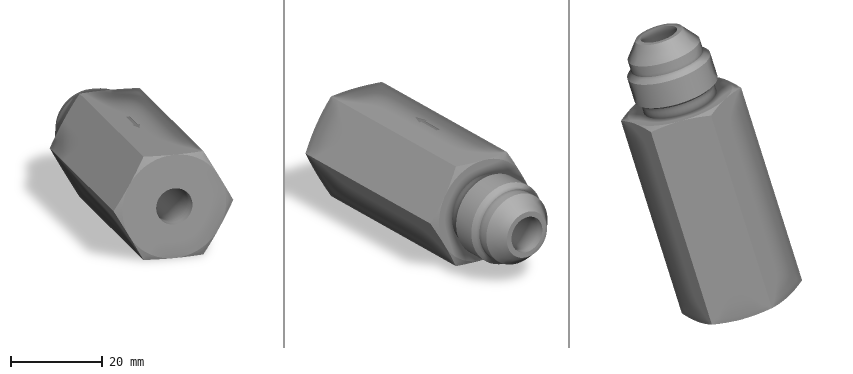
import cadquery as cq
import math

TOTAL_LENGTH = 65.0
BORE_DIAMETER = 8.3

HEX_START = 16.5
HEX_ACROSS_CORNERS = 27.5
HEX_ACROSS_FLATS = HEX_ACROSS_CORNERS * math.cos(math.radians(30))
HEX_CHAMFER_LENGTH = 0.65
HEX_END_RADIUS = HEX_ACROSS_FLATS / 2
HEX_CORNER_RADIUS = HEX_ACROSS_CORNERS / 2

NOSE_TIP_DIAMETER = 10.8
PILOT_DIAMETER = 16.5
COLLAR_DIAMETER = 19.05
NECK_DIAMETER = 16.7
CONE_LENGTH = 3.8
COLLAR_START = 6.4
COLLAR_END = 14.1
COLLAR_BACK_CHAMFER = 0.7
COLLAR_FRONT_CHAMFER = (COLLAR_DIAMETER - PILOT_DIAMETER) / 2

ARROW_TAIL_X = 35.75
ARROW_HEAD_X = 41.6
ARROW_TIP_X = 44.5
ARROW_CENTRE_Y = -1.6
ARROW_SHAFT_WIDTH = 0.85
ARROW_HEAD_WIDTH = 2.0
ARROW_DEPTH = 0.1


def revolve_about_x(profile):
    """Revolve a closed (x, radius) profile about the X axis."""
    return cq.Workplane("XY").polyline(profile).close().revolve(360, (0, 0, 0), (1, 0, 0))


def make_hex_section():
    """Hexagonal prism with corners on +Y and -Y and conically chamfered ends."""
    prism = (
        cq.Workplane("YZ", origin=(HEX_START, 0, 0))
        .polygon(6, HEX_ACROSS_CORNERS)
        .extrude(TOTAL_LENGTH - HEX_START)
    )
    chamfer_envelope = revolve_about_x([
        (HEX_START, 0),
        (HEX_START, HEX_END_RADIUS),
        (HEX_START + HEX_CHAMFER_LENGTH, HEX_CORNER_RADIUS),
        (TOTAL_LENGTH - HEX_CHAMFER_LENGTH, HEX_CORNER_RADIUS),
        (TOTAL_LENGTH, HEX_END_RADIUS),
        (TOTAL_LENGTH, 0),
    ])
    return prism.intersect(chamfer_envelope)


def make_male_end():
    """Turned end with a sealing cone, pilot, chamfered collar and neck."""
    return revolve_about_x([
        (0, 0),
        (0, NOSE_TIP_DIAMETER / 2),
        (CONE_LENGTH, PILOT_DIAMETER / 2),
        (COLLAR_START, PILOT_DIAMETER / 2),
        (COLLAR_START + COLLAR_FRONT_CHAMFER, COLLAR_DIAMETER / 2),
        (COLLAR_END - COLLAR_BACK_CHAMFER, COLLAR_DIAMETER / 2),
        (COLLAR_END, NECK_DIAMETER / 2),
        (HEX_START, NECK_DIAMETER / 2),
        (HEX_START, 0),
    ])


def make_bore():
    """Straight passage through the full length."""
    return cq.Workplane("YZ").circle(BORE_DIAMETER / 2).extrude(TOTAL_LENGTH)


def make_flow_arrow():
    """Cutter for the shallow arrow, reaching down from the +Z flat."""
    shaft_half = ARROW_SHAFT_WIDTH / 2
    head_half = ARROW_HEAD_WIDTH / 2
    return (
        cq.Workplane("XY", origin=(0, ARROW_CENTRE_Y, HEX_ACROSS_FLATS / 2))
        .polyline([
            (ARROW_TAIL_X, -shaft_half),
            (ARROW_HEAD_X, -shaft_half),
            (ARROW_HEAD_X, -head_half),
            (ARROW_TIP_X, 0),
            (ARROW_HEAD_X, head_half),
            (ARROW_HEAD_X, shaft_half),
            (ARROW_TAIL_X, shaft_half),
        ])
        .close()
        .extrude(-ARROW_DEPTH)
    )


body = make_hex_section().union(make_male_end())
result = body.cut(make_bore()).cut(make_flow_arrow())